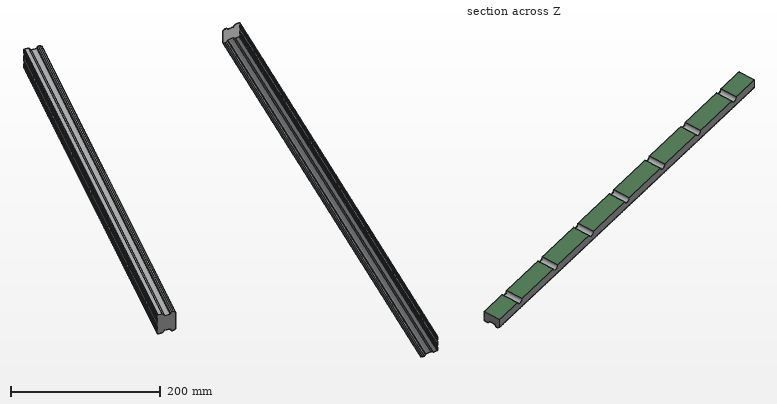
import cadquery as cq

length = 570.0
height = 26.0
width = 34.0
half_width = width / 2
head_face = height / 2
base_face = -height / 2

corner_height = 3.5
corner_drop = 3.0
short_bevel_height = 0.5
short_bevel_drop = 0.75

groove_depth = 4.0
groove_floor = half_width - groove_depth
flank_top = 7.5
bevel_height = 1.5
bevel_depth = 2.0
step_height = 0.5
step_depth = 1.4
floor_top = 3.0
floor_bottom = -2.55
flank_bottom = -6.0

base_chamfer = 1.0
relief_inner = 4.5
relief_outer = 9.5
relief_depth = 0.5

hole_diameter = 9.0
hole_count = 7
hole_pitch = 80.0


def rail_half():
    """Half of the grooved bar above the middle plane Z = 0."""
    bevel_end = flank_top - bevel_height
    bevel_floor = half_width - bevel_depth
    return (
        cq.Workplane("YZ", origin=(-length / 2, 0, 0))
        .moveTo(head_face, 0)
        .lineTo(head_face, half_width - corner_drop)
        .lineTo(head_face - short_bevel_height, half_width - corner_drop + short_bevel_drop)
        .lineTo(head_face - corner_height, half_width)
        .lineTo(flank_top, half_width)
        .lineTo(bevel_end, bevel_floor)
        .lineTo(bevel_end - step_height, bevel_floor - step_depth)
        .lineTo(floor_top, groove_floor)
        .lineTo(floor_bottom, groove_floor)
        .lineTo(flank_bottom, half_width)
        .lineTo(base_face + base_chamfer, half_width)
        .lineTo(base_face, half_width - base_chamfer)
        .lineTo(base_face, 0)
        .close()
        .extrude(length)
    )


def rail_body():
    half = rail_half()
    return half.union(half.mirror("XY")).clean()


def relief_channels():
    """The two shallow channels along the mounting face."""
    relief_middle = (relief_inner + relief_outer) / 2
    return (
        cq.Workplane("XZ", origin=(0, base_face, 0))
        .pushPoints([(0, relief_middle), (0, -relief_middle)])
        .rect(length, relief_outer - relief_inner)
        .extrude(-relief_depth)
    )


def mounting_holes():
    """A row of plain holes through the rail from head to mounting face."""
    return (
        cq.Workplane("XZ", origin=(0, head_face, 0))
        .rarray(hole_pitch, 5.5, hole_count, 1)
        .circle(hole_diameter / 2)
        .extrude(height)
    )


result = rail_body().cut(relief_channels()).cut(mounting_holes())